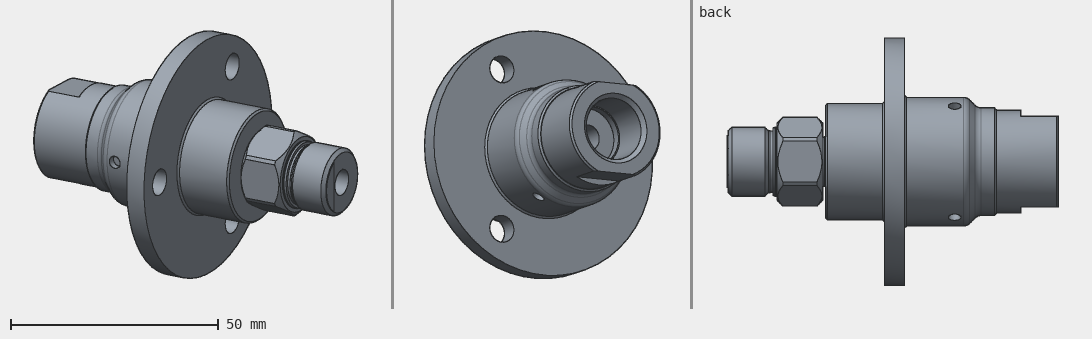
import cadquery as cq
import math


BARREL_DIA = 24.8
COLLAR_DIA = 26.0
MAIN_DIA = 31.0
FLANGE_DIA = 59.7
REAR_DIA = 28.05

COLLAR_START_X = 14.9
COLLAR_END_X = 18.6
FLANGE_START_X = 37.0
FLANGE_THICKNESS = 4.9
HOUSING_LENGTH = 56.0
EDGE_CHAMFER = 0.5
SHOULDER_RADIUS = 2.1
SHOULDER_ANGLE = math.radians(45)

FLAT_LENGTH = 9.0
FLAT_SPACING = 21.9

PORT_MOUTH_DIA = 17.05
PORT_DIA = 15.0
PORT_DEPTH = 11.95
PORT_END_DIA = 14.35
PORT_END_DEPTH = 14.35
FLOW_DIA = 6.4

HOLE_COUNT = 3
FIRST_HOLE_ANGLE = 180.0
FLANGE_HOLE_DIA = 6.5
FLANGE_HOLE_CIRCLE_DIA = 45.1
SIDE_HOLE_DIA = 3.0
SIDE_HOLE_DEPTH = 2.0
SIDE_HOLE_X = 24.95

NECK_STEP_DIA = 12.0
NECK_STEP_LENGTH = 0.2
NECK_DIA = 11.9
HEX_START_X = 56.7
HEX_END_X = 67.75
HEX_FLATS = 19.05
HEX_CORNER_DIA = 21.4
HEX_FACE_DIA = 18.6

SEAL_DIA = 16.5
SEAL_END_X = 68.0
WASHER_EDGE_X = 68.2
WASHER_END_X = 68.7
WASHER_END_DIA = 16.2
GROOVE_DIA = 14.8
GROOVE_END_X = 69.4
RUNOUT_DIA = 15.0
RUNOUT_START_X = 69.8
THREAD_DIA = 16.65
THREAD_CHAMFER = 0.9
OVERALL_LENGTH = 79.7
PAD_HEIGHT = 0.2
PAD_EDGE_Y = -4.1


def cylinder(x_start, x_end, diameter):
    """Solid cylinder along X."""
    return cq.Workplane("YZ").workplane(offset=x_start).circle(diameter / 2).extrude(x_end - x_start)


def revolve_about_x(profile):
    """Solid of revolution of an XY profile that lies on the X axis."""
    return profile.close().revolve(360, (0, 0, 0), (1, 0, 0))


def hole_angles():
    """Angles of the evenly spaced holes around the axis."""
    return [FIRST_HOLE_ANGLE + i * 360 / HOLE_COUNT for i in range(HOLE_COUNT)]


def housing_outside():
    barrel_r = BARREL_DIA / 2
    collar_r = COLLAR_DIA / 2
    main_r = MAIN_DIA / 2
    flange_r = FLANGE_DIA / 2
    rear_r = REAR_DIA / 2
    flange_end_x = FLANGE_START_X + FLANGE_THICKNESS

    arc_run = SHOULDER_RADIUS * math.sin(SHOULDER_ANGLE)
    arc_rise = SHOULDER_RADIUS * (1 - math.cos(SHOULDER_ANGLE))
    half_arc_run = SHOULDER_RADIUS * math.sin(SHOULDER_ANGLE / 2)
    half_arc_rise = SHOULDER_RADIUS * (1 - math.cos(SHOULDER_ANGLE / 2))
    cone_start_x = COLLAR_END_X + arc_run
    cone_rise = main_r - collar_r - 2 * arc_rise
    cone_end_x = cone_start_x + cone_rise / math.tan(SHOULDER_ANGLE)
    main_start_x = cone_end_x + arc_run

    profile = (
        cq.Workplane("XY")
        .moveTo(0, 0)
        .lineTo(0, barrel_r - EDGE_CHAMFER)
        .lineTo(EDGE_CHAMFER, barrel_r)
        .lineTo(COLLAR_START_X, barrel_r)
        .lineTo(COLLAR_START_X, collar_r - EDGE_CHAMFER)
        .lineTo(COLLAR_START_X + EDGE_CHAMFER, collar_r)
        .lineTo(COLLAR_END_X, collar_r)
        .threePointArc(
            (COLLAR_END_X + half_arc_run, collar_r + half_arc_rise),
            (cone_start_x, collar_r + arc_rise),
        )
        .lineTo(cone_end_x, main_r - arc_rise)
        .threePointArc(
            (main_start_x - half_arc_run, main_r - half_arc_rise),
            (main_start_x, main_r),
        )
        .lineTo(FLANGE_START_X - EDGE_CHAMFER, main_r)
        .lineTo(FLANGE_START_X, main_r + EDGE_CHAMFER)
        .lineTo(FLANGE_START_X, flange_r)
        .lineTo(flange_end_x, flange_r)
        .lineTo(flange_end_x, rear_r + EDGE_CHAMFER)
        .lineTo(flange_end_x + EDGE_CHAMFER, rear_r)
        .lineTo(HOUSING_LENGTH - EDGE_CHAMFER, rear_r)
        .lineTo(HOUSING_LENGTH, rear_r - EDGE_CHAMFER)
        .lineTo(HOUSING_LENGTH, 0)
    )
    return revolve_about_x(profile)


def wrench_flats():
    """Material removed above and below the two flats on the barrel."""
    depth = (BARREL_DIA - FLAT_SPACING) / 2
    z_middle = (BARREL_DIA + FLAT_SPACING) / 4
    return (
        cq.Workplane("XY")
        .pushPoints([(FLAT_LENGTH / 2, 0, z_middle), (FLAT_LENGTH / 2, 0, -z_middle)])
        .box(FLAT_LENGTH, BARREL_DIA, depth)
    )


def port_bore():
    """Countersunk front port that steps down to the flow bore."""
    mouth_depth = (PORT_MOUTH_DIA - PORT_DIA) / 2
    profile = (
        cq.Workplane("XY")
        .moveTo(0, 0)
        .lineTo(0, PORT_MOUTH_DIA / 2)
        .lineTo(mouth_depth, PORT_DIA / 2)
        .lineTo(PORT_DEPTH, PORT_DIA / 2)
        .lineTo(PORT_DEPTH, PORT_END_DIA / 2)
        .lineTo(PORT_END_DEPTH, PORT_END_DIA / 2)
        .lineTo(PORT_END_DEPTH, FLOW_DIA / 2)
        .lineTo(HOUSING_LENGTH, FLOW_DIA / 2)
        .lineTo(HOUSING_LENGTH, 0)
    )
    return revolve_about_x(profile)


def flange_hole(angle):
    hole = cylinder(FLANGE_START_X, FLANGE_START_X + FLANGE_THICKNESS, FLANGE_HOLE_DIA)
    return hole.translate((0, FLANGE_HOLE_CIRCLE_DIA / 2, 0)).rotate((0, 0, 0), (1, 0, 0), angle)


def side_hole(angle):
    """Blind radial hole in the main diameter."""
    outer_r = MAIN_DIA / 2
    entry_plane = cq.Plane(origin=(SIDE_HOLE_X, outer_r, 0), xDir=(1, 0, 0), normal=(0, -1, 0))
    hole = cq.Workplane(entry_plane).circle(SIDE_HOLE_DIA / 2).extrude(SIDE_HOLE_DEPTH)
    return hole.rotate((0, 0, 0), (1, 0, 0), angle)


def make_housing():
    body = housing_outside().cut(wrench_flats()).cut(port_bore())
    for angle in hole_angles():
        body = body.cut(flange_hole(angle)).cut(side_hole(angle))
    return body


def hexagon():
    """Hexagon with flats facing +Y and -Y, its corners turned down and both ends chamfered."""
    chamfer = (HEX_CORNER_DIA - HEX_FACE_DIA) / 2
    prism = (
        cq.Workplane("YZ")
        .workplane(offset=HEX_START_X)
        .polygon(6, HEX_FLATS, circumscribed=True)
        .extrude(HEX_END_X - HEX_START_X)
    )
    envelope = cylinder(HEX_START_X, HEX_END_X, HEX_CORNER_DIA).faces("<X or >X").chamfer(chamfer)
    return prism.intersect(envelope)


def threaded_end():
    """Seal, washer, groove and threaded end behind the hexagon."""
    thread_r = THREAD_DIA / 2
    face_x = OVERALL_LENGTH - PAD_HEIGHT
    thread_start_x = RUNOUT_START_X + (THREAD_DIA - RUNOUT_DIA) / 2
    profile = (
        cq.Workplane("XY")
        .moveTo(HEX_END_X, 0)
        .lineTo(HEX_END_X, SEAL_DIA / 2)
        .lineTo(SEAL_END_X, SEAL_DIA / 2)
        .lineTo(SEAL_END_X, thread_r)
        .lineTo(WASHER_EDGE_X, thread_r)
        .lineTo(WASHER_END_X, WASHER_END_DIA / 2)
        .lineTo(WASHER_END_X, GROOVE_DIA / 2)
        .lineTo(GROOVE_END_X, GROOVE_DIA / 2)
        .lineTo(GROOVE_END_X, RUNOUT_DIA / 2)
        .lineTo(RUNOUT_START_X, RUNOUT_DIA / 2)
        .lineTo(thread_start_x, thread_r)
        .lineTo(face_x - THREAD_CHAMFER, thread_r)
        .lineTo(face_x, thread_r - THREAD_CHAMFER)
        .lineTo(face_x, 0)
    )
    return revolve_about_x(profile)


def end_pad():
    """Thin raised segment on the -Y side of the end face."""
    pad_dia = THREAD_DIA - 2 * THREAD_CHAMFER
    disc = cylinder(OVERALL_LENGTH - PAD_HEIGHT, OVERALL_LENGTH, pad_dia)
    keep = cq.Workplane("XY").box(2 * PAD_HEIGHT, pad_dia, pad_dia)
    return disc.intersect(keep.translate((OVERALL_LENGTH, PAD_EDGE_Y - pad_dia / 2, 0)))


def make_adapter():
    step_end_x = HOUSING_LENGTH + NECK_STEP_LENGTH
    body = cylinder(HOUSING_LENGTH, step_end_x, NECK_STEP_DIA)
    body = body.union(cylinder(step_end_x, HEX_START_X, NECK_DIA))
    body = body.union(hexagon()).union(threaded_end()).union(end_pad())
    return body.cut(cylinder(HOUSING_LENGTH, OVERALL_LENGTH, FLOW_DIA))


housing = make_housing()
adapter = make_adapter()
result = cq.Compound.makeCompound([housing.val(), adapter.val()])